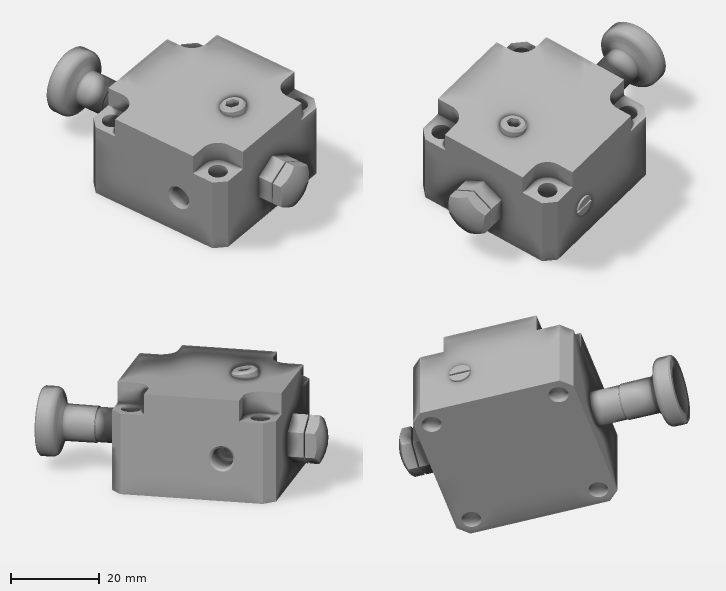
import cadquery as cq
import math

block_side = 38.0
block_height = 24.0
half_side = block_side / 2
corner_chamfer = 2.5

seat_side = 8.0
seat_depth = 5.0
seat_radius = seat_side / 2
mount_hole_diameter = 4.5
mount_hole_offset = half_side - seat_side / 2

rod_axis_z = 10.0
side_screw_x = 7.0

front_bore_diameter = 5.0
front_bore_depth = 7.0
front_bore_chamfer = 0.5
front_seat_chamfer = 0.5
front_hex_flats = 2.0
front_hex_depth = 2.0

back_screw_diameter = 5.0
back_screw_height = 0.5
back_slot_width = 0.6

top_screw_x = 8.0
top_screw_tilt = 10.0
top_screw_diameter = 6.0
top_screw_height = 1.5
top_screw_root = 3.0
top_screw_chamfer = 0.5
top_hex_flats = 3.0
top_hex_depth = 2.5

rod_diameter = 8.0
rod_overhang = 6.65
rod_neck_diameter = 7.6
rod_neck_length = 0.35
thread_diameter = 6.0
nut_flats = 10.0
nut_thickness = 3.6
nut_gap = 0.4
cap_nut_thickness = 4.0
cap_dome_radius = 10.0

knob_diameter = 16.0
knob_length = 13.0
knob_edge_chamfer = 0.4
knob_rim_end = 2.9
knob_round = 1.6
knob_back_slope = 8.0
knob_flare_length = 1.2
knob_neck_diameter = 8.5
knob_neck_end_diameter = 8.4
knob_dish_diameter = 12.0
knob_dish_depth = 1.0

block_left = -half_side
rod_left = block_left - rod_overhang - rod_neck_length
knob_left = rod_left - knob_length


def x_cylinder(diameter, x_start, length):
    """Cylinder on the rod axis, from x_start towards +X."""
    plane = cq.Plane(origin=(x_start, 0, rod_axis_z), xDir=(0, 1, 0), normal=(1, 0, 0))
    return cq.Workplane(plane).circle(diameter / 2).extrude(length)


def x_hexagon(flats, x_start, length):
    """Hexagonal prism on the rod axis, with two of its corners facing up and down."""
    plane = cq.Plane(origin=(x_start, 0, rod_axis_z), xDir=(0, 0, 1), normal=(1, 0, 0))
    return cq.Workplane(plane).polygon(6, corner_width(flats)).extrude(length)


def corner_width(flats):
    """Width across the corners of a hexagon, from its width across the flats."""
    return flats / math.cos(math.radians(30))


def make_block():
    """Square block with chamfered uprights and a seat with a through hole in each corner."""
    block = (
        cq.Workplane("XY")
        .rect(block_side, block_side)
        .extrude(block_height)
        .edges("|Z")
        .chamfer(corner_chamfer)
    )
    for x_side in (-1, 1):
        for y_side in (-1, 1):
            seat_x = x_side * half_side
            seat_y = y_side * half_side
            seat = (
                cq.Workplane("XY", origin=(seat_x, seat_y, block_height - seat_depth))
                .rect(2 * seat_side, 2 * seat_side)
                .extrude(seat_depth)
                .edges("|Z")
                .fillet(seat_radius)
            )
            hole = (
                cq.Workplane("XY", origin=(x_side * mount_hole_offset, y_side * mount_hole_offset, 0))
                .circle(mount_hole_diameter / 2)
                .extrude(block_height)
            )
            block = block.cut(seat).cut(hole)
    return block


def cut_front_screw(block):
    """Chamfered blind bore in the front wall, narrowing to a flat face with a hexagon socket."""
    mouth_plane = cq.Plane(origin=(side_screw_x, -half_side, rod_axis_z), xDir=(1, 0, 0), normal=(0, 1, 0))
    bore_radius = front_bore_diameter / 2
    mouth_radius = bore_radius + front_bore_chamfer
    face_radius = bore_radius - front_seat_chamfer
    bore_profile = [
        (0, 0),
        (mouth_radius, 0),
        (bore_radius, front_bore_chamfer),
        (bore_radius, front_bore_depth - front_seat_chamfer),
        (face_radius, front_bore_depth),
        (0, front_bore_depth),
    ]
    bore = (
        cq.Workplane("XY", origin=(side_screw_x, -half_side, rod_axis_z))
        .polyline(bore_profile)
        .close()
        .revolve(360, (0, 0, 0), (0, 1, 0))
    )
    socket = (
        cq.Workplane(mouth_plane)
        .workplane(offset=front_bore_depth)
        .polygon(6, corner_width(front_hex_flats))
        .extrude(front_hex_depth)
    )
    return block.cut(bore).cut(socket)


def add_back_screw(block):
    """Slotted screw end standing out of the back wall; its slot runs along X."""
    wall_plane = cq.Plane(origin=(side_screw_x, half_side, rod_axis_z), xDir=(1, 0, 0), normal=(0, 1, 0))
    end = cq.Workplane(wall_plane).circle(back_screw_diameter / 2).extrude(back_screw_height)
    slot = cq.Workplane(wall_plane).rect(back_screw_diameter, back_slot_width).extrude(back_screw_height)
    return block.union(end.cut(slot))


def add_top_screw(block):
    """Hexagon socket screw standing out of the top, leaning towards -X."""
    tilt = math.radians(top_screw_tilt)
    axis = (-math.sin(tilt), 0, math.cos(tilt))
    across = (math.cos(tilt), 0, math.sin(tilt))
    stand_out = top_screw_height / math.cos(tilt)
    plane = cq.Plane(origin=(top_screw_x, 0, block_height), xDir=across, normal=axis)
    screw = (
        cq.Workplane(plane)
        .workplane(offset=-top_screw_root)
        .circle(top_screw_diameter / 2)
        .extrude(top_screw_root + stand_out)
        .faces(cq.selectors.DirectionMinMaxSelector(cq.Vector(*axis)))
        .chamfer(top_screw_chamfer)
    )
    socket = (
        cq.Workplane(plane)
        .workplane(offset=stand_out)
        .polygon(6, corner_width(top_hex_flats))
        .extrude(-top_hex_depth)
    )
    return block.union(screw).cut(socket)


def make_housing():
    """Block with its screws and the bore for the rod."""
    housing = add_top_screw(add_back_screw(cut_front_screw(make_block())))
    return housing.cut(x_cylinder(rod_diameter, block_left, block_side))


def make_rod():
    """Necked rod through the housing, with a hexagon nut and a domed cap nut on its end."""
    neck = x_cylinder(rod_neck_diameter, rod_left, rod_neck_length)
    shaft = x_cylinder(rod_diameter, rod_left + rod_neck_length, rod_overhang + block_side)
    nut = x_hexagon(nut_flats, half_side, nut_thickness)
    cap_left = half_side + nut_thickness + nut_gap
    thread = x_cylinder(thread_diameter, half_side, nut_thickness + nut_gap)
    cap_right = cap_left + cap_nut_thickness
    dome = cq.Workplane("XY", origin=(cap_right - cap_dome_radius, 0, rod_axis_z)).sphere(cap_dome_radius)
    cap_nut = x_hexagon(nut_flats, cap_left, cap_nut_thickness).intersect(dome)
    return shaft.union(neck).union(thread).union(nut).union(cap_nut)


def make_knob():
    """Turned knob with a dished face, a rounded rim and a slightly tapered neck."""
    rim = knob_diameter / 2
    neck = knob_neck_diameter / 2
    dish = knob_dish_diameter / 2
    dish_ball = (dish**2 + knob_dish_depth**2) / (2 * knob_dish_depth)
    dish_mid_radius = dish / 2
    dish_mid_x = knob_dish_depth - dish_ball + math.sqrt(dish_ball**2 - dish_mid_radius**2)
    slope = math.radians(knob_back_slope)
    middle_angle = (slope + math.pi / 2) / 2
    round_centre = rim - knob_round
    flare_start = knob_rim_end + knob_round * math.cos(slope)
    round_middle = (
        knob_rim_end + knob_round * math.cos(middle_angle),
        round_centre + knob_round * math.sin(middle_angle),
    )
    round_end = (flare_start, round_centre + knob_round * math.sin(slope))
    profile = (
        cq.Workplane("XY", origin=(knob_left, 0, rod_axis_z))
        .moveTo(knob_dish_depth, 0)
        .threePointArc((dish_mid_x, dish_mid_radius), (0, dish))
        .lineTo(0, rim - knob_edge_chamfer)
        .lineTo(knob_edge_chamfer, rim)
        .lineTo(knob_rim_end, rim)
        .threePointArc(round_middle, round_end)
        .tangentArcPoint((flare_start + knob_flare_length, neck), relative=False)
        .lineTo(knob_length, knob_neck_end_diameter / 2)
        .lineTo(knob_length, 0)
        .close()
    )
    return profile.revolve(360, (0, 0, 0), (1, 0, 0))


housing = make_housing()
rod = make_rod()
knob = make_knob()

result = cq.Compound.makeCompound([housing.val(), rod.val(), knob.val()])